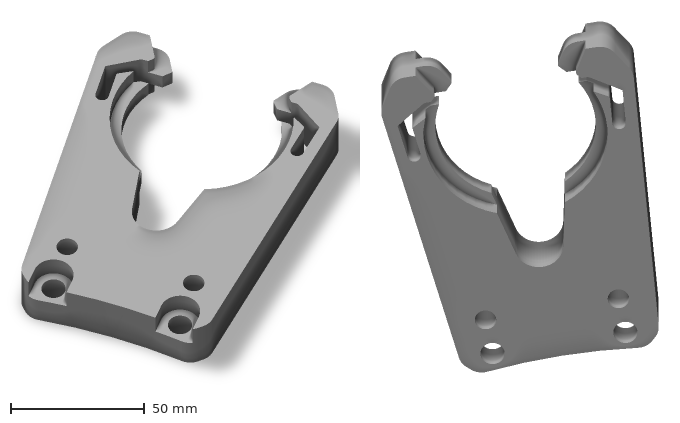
import cadquery as cq
import math


thickness = 19.4
layer = thickness / 3
top_y = 31.3
corner_radius = 7.0
shoulder_x, shoulder_y = 48.0, 18.4
shoulder_angle = 30.0
side_angle = 5.3
flank_end_y = -92.9
corner_leg = 5.7
base_y = -96.4

lip_radius = 30.0
bore_radius = 34.5
throat_radius = 9.2
throat_center_y = -48.5
throat_angle = 12.0

tongue_tip = (20.1, 22.5)
tongue_tip_radius = 0.5
outer_tip = (26.7, 21.5)
outer_tip_radius = 1.3
hook_angle = 30.0
undercut_angle = 41.0

slot_width = 5.0
slot_top_y = 19.3
slot_bend_x = 31.2
slot_elbow_x, slot_elbow_y = 42.7, 11.4
slot_end_y = -2.5
elbow_radius = 1.0
bend_radius = 2.5

hole_x = 25.3
pin_hole_y, pin_hole_diameter = -76.2, 8.0
screw_hole_y, screw_hole_diameter = -90.8, 9.1
recess_width = 15.0
recess_depth = 8.0


def run(height, angle):
    """Sideways run of a line tilted by angle from the Y axis over a given height."""
    return height * math.tan(math.radians(angle))


def prism(points, bottom=0.0, height=thickness):
    return cq.Workplane("XY").workplane(offset=bottom).polyline(points).close().extrude(height)


def cylinder(x, y, radius, bottom=0.0, height=thickness):
    return cq.Workplane("XY").workplane(offset=bottom).center(x, y).circle(radius).extrude(height)


def round_corner(body, corner, radius):
    """Fillet the vertical edge nearest to the corner (x, y)."""
    center_z = body.val().Center().z
    nearest = cq.NearestToPointSelector((corner[0], corner[1], center_z))
    return body.edges("|Z").edges(nearest).fillet(radius)


def half_layer(bottom, hook_tip, tip_radius, inner_radius):
    """One layer of the half plate, with its own hook tip (x, y), tip radius and bore radius."""
    tip_x, tip_y = hook_tip
    hook_top = (tip_x + run(top_y - tip_y, hook_angle), top_y)
    hook_foot = (tip_x + run(tip_y - slot_top_y, undercut_angle), slot_top_y)
    shoulder_top = (shoulder_x - run(top_y - shoulder_y, shoulder_angle), top_y)
    shoulder = (shoulder_x, shoulder_y)
    flank_end = (shoulder_x - run(shoulder_y - flank_end_y, side_angle), flank_end_y)
    foot_x, foot_y = flank_end[0] - corner_leg, flank_end[1] - corner_leg
    base_rise = base_y - foot_y
    base_radius = (foot_x**2 + base_rise**2) / (2 * base_rise)

    body = prism([
        hook_top,
        shoulder_top,
        shoulder,
        flank_end,
        (foot_x, foot_y),
        (0, foot_y),
        (0, slot_top_y),
        hook_foot,
        hook_tip,
    ], bottom, layer)
    body = body.cut(cylinder(0, base_y - base_radius, base_radius, bottom, layer))
    for corner in (shoulder_top, shoulder, flank_end, (foot_x, foot_y)):
        body = round_corner(body, corner, corner_radius)
    if hook_tip == tongue_tip:
        body = round_corner(body, hook_top, corner_radius)
    body = round_corner(body, hook_tip, tip_radius)

    bore = cylinder(0, 0, inner_radius, bottom, layer)
    above_slot = (
        cq.Workplane("XY").workplane(offset=bottom)
        .center(0, slot_top_y + inner_radius)
        .rect(2 * inner_radius, 2 * inner_radius)
        .extrude(layer)
    )
    return body.cut(bore.cut(above_slot))


def throat():
    angle = math.radians(throat_angle)
    tangent_x = throat_radius * math.cos(angle)
    tangent_y = throat_center_y - throat_radius * math.sin(angle)
    mouth_x = tangent_x + run(-tangent_y, throat_angle)
    sides = [(0, 0), (mouth_x, 0), (tangent_x, tangent_y), (0, tangent_y)]
    return prism(sides).union(cylinder(0, throat_center_y, throat_radius))


def flex_slot():
    """Level, slanted and steep legs of equal width, closed by a round end."""
    steep = math.radians(side_angle)
    slant = math.atan2(slot_top_y - slot_elbow_y, slot_elbow_x - slot_bend_x)
    bend_shift = slot_width * math.tan(slant / 2)
    elbow_half_turn = (math.pi / 2 - slant - steep) / 2
    elbow_shift = slot_width * math.tan(elbow_half_turn)

    inner_elbow = (
        slot_elbow_x - slot_width * math.cos(steep) - elbow_shift * math.sin(steep),
        slot_elbow_y + slot_width * math.sin(steep) - elbow_shift * math.cos(steep),
    )
    outer_end_x = slot_elbow_x - run(slot_elbow_y - slot_end_y, side_angle)
    outer_end = (outer_end_x, slot_end_y)
    inner_end = (outer_end_x - slot_width * math.cos(steep), slot_end_y + slot_width * math.sin(steep))
    end_center = ((outer_end[0] + inner_end[0]) / 2, (outer_end[1] + inner_end[1]) / 2)
    lower_y = slot_top_y - slot_width
    legs = prism([
        (0, slot_top_y),
        (slot_bend_x, slot_top_y),
        (slot_elbow_x, slot_elbow_y),
        outer_end,
        inner_end,
        inner_elbow,
        (slot_bend_x - bend_shift, lower_y),
        (0, lower_y),
    ])
    legs = round_corner(legs, inner_elbow, elbow_radius)
    legs = round_corner(legs, (slot_bend_x, slot_top_y), bend_radius)
    return legs.union(cylinder(*end_center, slot_width / 2))


def mounting_cuts():
    """Pin hole, screw hole and the screw-head recess that is open towards the base."""
    floor_z = thickness - recess_depth
    recess_length = screw_hole_y - base_y + corner_radius
    open_end = (
        cq.Workplane("XY").workplane(offset=floor_z)
        .center(hole_x, screw_hole_y - recess_length / 2)
        .rect(recess_width, recess_length)
        .extrude(recess_depth)
    )
    return (
        cylinder(hole_x, pin_hole_y, pin_hole_diameter / 2)
        .union(cylinder(hole_x, screw_hole_y, screw_hole_diameter / 2))
        .union(cylinder(hole_x, screw_hole_y, recess_width / 2, floor_z, recess_depth))
        .union(open_end)
    )


half = half_layer(layer, tongue_tip, tongue_tip_radius, lip_radius)
for layer_bottom in (0, 2 * layer):
    half = half.union(half_layer(layer_bottom, outer_tip, outer_tip_radius, bore_radius))
for cutter in (throat(), flex_slot(), mounting_cuts()):
    half = half.cut(cutter)

result = half.union(half.mirror("YZ"))